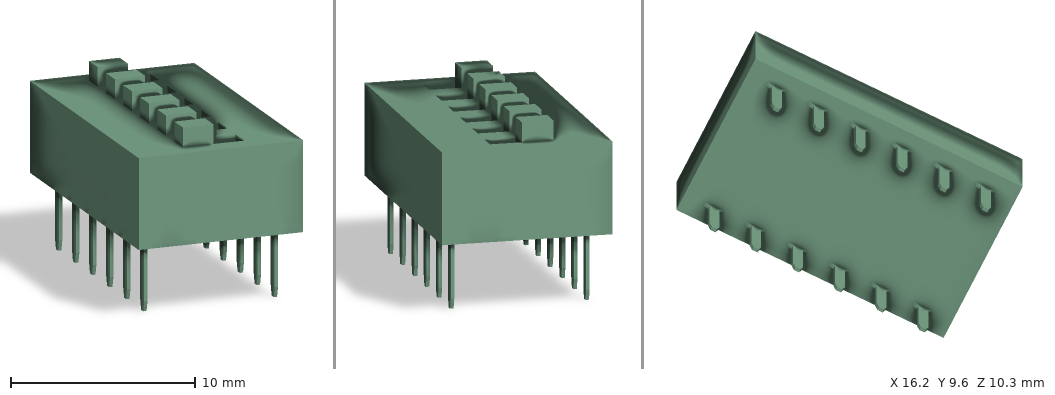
import cadquery as cq


cover_length = 16.24
cover_width = 9.6
cover_height = 5.2
wall = 0.5

switch_count = 6
row_span = 12.7
switch_pitch = row_span / (switch_count - 1)
switch_x = [i * switch_pitch - row_span / 2 for i in range(switch_count)]

slot_width = 1.33
slot_length = 3.6
slider_clearance = 0.025
slider_rise = 1.1
slider_width = slot_width - 2 * slider_clearance
slider_length = slot_length / 2 - slider_clearance

pin_row_spacing = 7.62
pin_length = 4.0
pin_thickness = 0.2
pin_width = 0.6
shoulder_width = 1.17
shoulder_height = (shoulder_width - pin_width) / 2
tip_width = 0.31
tip_height = 0.6

base_length = cover_length - 2 * wall
base_width = cover_width - 2 * wall
base_height = cover_height - wall


def block(length, width, height):
    """Box centred in X and Y that stands on Z = 0."""
    return cq.Workplane("XY").box(length, width, height, centered=(True, True, False))


def make_cover():
    """Box open at the bottom, with one slot through the roof per switch."""
    cavity = block(base_length, base_width, base_height)
    slots = (
        cq.Workplane("XY", origin=(0, 0, base_height))
        .pushPoints([(x, 0) for x in switch_x])
        .rect(slot_width, slot_length)
        .extrude(wall)
    )
    return block(cover_length, cover_width, cover_height).cut(cavity).cut(slots)


def make_pin(x, y):
    """Flat pin that hangs from Z = 0, with a flared shoulder and a tapered tip."""
    right_side = [
        (shoulder_width / 2, 0),
        (pin_width / 2, -shoulder_height),
        (pin_width / 2, tip_height - pin_length),
        (tip_width / 2, -pin_length),
    ]
    left_side = [(-px, pz) for px, pz in reversed(right_side)]
    return (
        cq.Workplane("XZ", origin=(x, y, 0))
        .polyline(right_side + left_side)
        .close()
        .extrude(pin_thickness / 2, both=True)
    )


def make_base():
    """Block that fills the cover, joined with its two rows of pins."""
    base = block(base_length, base_width, base_height)
    for y in (-pin_row_spacing / 2, pin_row_spacing / 2):
        for x in switch_x:
            base = base.union(make_pin(x, y))
    return base


def make_slider(x):
    """Slider standing on the base in the -Y half of its slot."""
    slider = block(slider_width, slider_length, wall + slider_rise)
    return slider.translate((x, -slider_length / 2, base_height))


cover = make_cover()
base = make_base()
sliders = [make_slider(x) for x in switch_x]

result = cq.Compound.makeCompound(
    [cover.val(), base.val(), *[slider.val() for slider in sliders]]
)